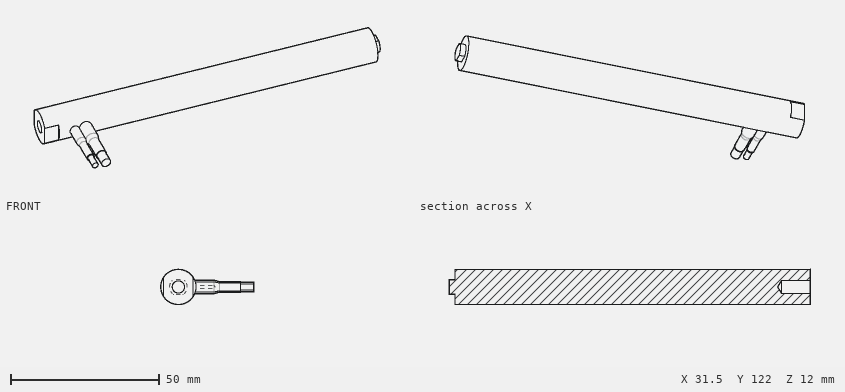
import cadquery as cq
import math

overall_length = 122.0
body_diameter = 12.0
stub_length = 2.0
body_length = overall_length - stub_length
front_y = -overall_length / 2
body_end_y = front_y + body_length

front_flat_width = 10.0
front_flat_length = 5.0
stub_diameter = 6.0
stub_flat_width = 5.0

hole_diameter = 4.1
hole_depth = 9.8
drill_point_angle = 118.0

sheath_end_x = 12.1
taper_end_x = 13.9
jacket_end_x = 21.0
cable_end_x = 25.5

large_cable = (14.4, 4.6, 3.7, 3.3)
small_cable = (10.5, 3.4, 2.7, 2.1)


def rod_along_y(diameter, start_y, length):
    """Round rod on the Y axis, running toward +Y."""
    return cq.Workplane("XZ", origin=(0, start_y, 0)).circle(diameter / 2).extrude(-length)


def flatted_body():
    """Round body with a pair of flats facing -X and +X at its front end."""
    body = rod_along_y(body_diameter, front_y + front_flat_length, body_length - front_flat_length)
    flat_envelope = cq.Workplane("XY").box(front_flat_width, overall_length, body_diameter)
    front_end = rod_along_y(body_diameter, front_y, front_flat_length).intersect(flat_envelope)
    return body.union(front_end)


def rear_stub():
    """Short stub with flats facing -Z and +Z."""
    flat_envelope = cq.Workplane("XY").box(stub_diameter, overall_length, stub_flat_width)
    return rod_along_y(stub_diameter, body_end_y, stub_length).intersect(flat_envelope)


def drilled_hole():
    """Blind hole with a conical bottom, revolved about the Y axis."""
    radius = hole_diameter / 2
    point_depth = radius / math.tan(math.radians(drill_point_angle / 2))
    profile = (
        cq.Workplane("XY")
        .moveTo(0, front_y)
        .lineTo(radius, front_y)
        .lineTo(radius, front_y + hole_depth)
        .lineTo(0, front_y + hole_depth + point_depth)
        .close()
    )
    return profile.revolve(360, (0, 0, 0), (0, 1, 0))


def cable(front_distance, sheath_diameter, jacket_diameter, core_diameter):
    """Cable with a tapered sheath, a jacket and a bare core, starting inside the body."""
    profile = (
        cq.Workplane("XY", origin=(0, front_y + front_distance, 0))
        .lineTo(0, sheath_diameter / 2)
        .lineTo(sheath_end_x, sheath_diameter / 2)
        .lineTo(taper_end_x, jacket_diameter / 2)
        .lineTo(jacket_end_x, jacket_diameter / 2)
        .lineTo(jacket_end_x, core_diameter / 2)
        .lineTo(cable_end_x, core_diameter / 2)
        .lineTo(cable_end_x, 0)
        .close()
    )
    return profile.revolve(360, (0, 0, 0), (1, 0, 0))


result = flatted_body().union(rear_stub())
for cable_sizes in (large_cable, small_cable):
    result = result.union(cable(*cable_sizes))
result = result.cut(drilled_hole())